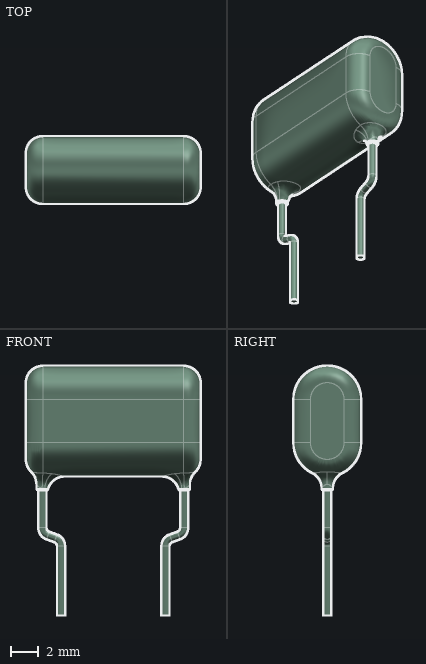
import cadquery as cq
import math


body_length = 12.6
body_thickness = 4.9
body_height = 8.0
end_rounding = 1.24

wire_diameter = 0.6
upper_pitch = 10.2
lower_pitch = 7.5
lead_reach = 10.0
lower_straight = 5.0
kink_angle = math.radians(70)
kink_straight = 0.6

collar_diameter = 0.84
collar_length = 1.0
collar_chamfer = 0.1
collar_blend = 1.2

kink_offset = (upper_pitch - lower_pitch) / 2
bend_radius = (kink_offset - kink_straight * math.sin(kink_angle)) / (2 * (1 - math.cos(kink_angle)))
kink_height = 2 * bend_radius * math.sin(kink_angle) + kink_straight * math.cos(kink_angle)
kink_bottom = lower_straight - lead_reach
kink_top = kink_bottom + kink_height

collar_top = body_thickness / 2


def make_collar(x):
    """Short round stub below the body, chamfered at its end face."""
    return (
        cq.Workplane("XY", origin=(x, 0, -collar_length))
        .circle(collar_diameter / 2)
        .extrude(collar_length + collar_top)
        .faces("<Z")
        .chamfer(collar_chamfer)
    )


def make_body():
    """Full-round bar with rounded ends, blended into a collar at each lead."""
    body = (
        cq.Workplane("YZ", origin=(0, 0, body_height / 2))
        .slot2D(body_height, body_thickness, 90)
        .extrude(body_length / 2, both=True)
        .faces("<X or >X")
        .edges()
        .fillet(end_rounding)
    )
    for side in (-1, 1):
        body = body.union(make_collar(side * upper_pitch / 2))

    reach = collar_diameter
    for side in (-1, 1):
        x = side * upper_pitch / 2
        joint = cq.selectors.BoxSelector(
            (x - reach, -reach, -collar_length / 2),
            (x + reach, reach, collar_top),
            boundingbox=True,
        )
        body = body.edges(joint).fillet(collar_blend)
    return body


def make_lead(side):
    """Wire from the collar's end face, stepping inwards; side is -1 or 1 along X."""
    half_bend_x = bend_radius * (1 - math.cos(kink_angle / 2))
    half_bend_z = bend_radius * math.sin(kink_angle / 2)
    bend_x = bend_radius * (1 - math.cos(kink_angle))
    bend_z = bend_radius * math.sin(kink_angle)
    top_x = upper_pitch / 2
    bottom_x = lower_pitch / 2

    path = (
        cq.Workplane("XZ")
        .moveTo(side * top_x, -collar_length)
        .lineTo(side * top_x, kink_top)
        .threePointArc(
            (side * (top_x - half_bend_x), kink_top - half_bend_z),
            (side * (top_x - bend_x), kink_top - bend_z),
        )
        .lineTo(side * (bottom_x + bend_x), kink_bottom + bend_z)
        .threePointArc(
            (side * (bottom_x + half_bend_x), kink_bottom + half_bend_z),
            (side * bottom_x, kink_bottom),
        )
        .lineTo(side * bottom_x, -lead_reach)
    )
    return (
        cq.Workplane("XY", origin=(side * top_x, 0, -collar_length))
        .circle(wire_diameter / 2)
        .sweep(path)
    )


body = make_body()
leads = [make_lead(side) for side in (-1, 1)]

result = cq.Compound.makeCompound([body.val(), *[lead.val() for lead in leads]])